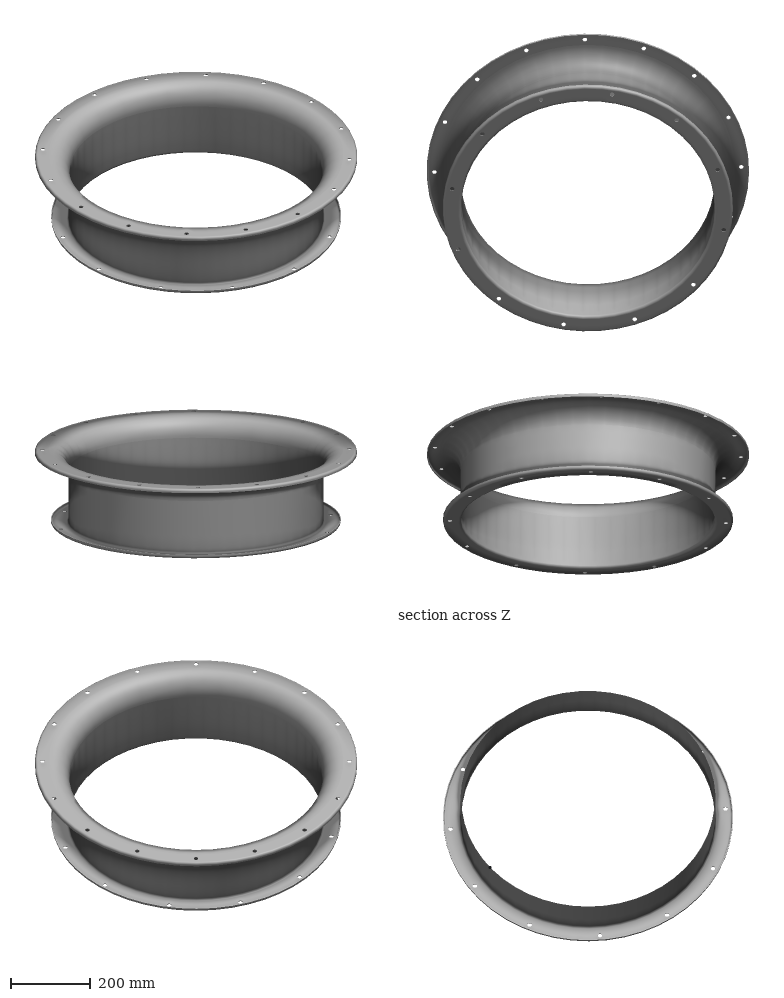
import cadquery as cq
import math

height = 190.0
inlet_flange_radius = 405.0
outlet_flange_radius = 364.5
sheet = 2.0

bore_radius = 318.0
bell_radius = 52.0
bell_center = (bore_radius + bell_radius, height - bell_radius)

rim_bend_radius = 6.5
foot_bend_radius = 7.0
lip_height = 10.0
foot_center = (bore_radius + foot_bend_radius, foot_bend_radius)
inlet_rim_center = (inlet_flange_radius - rim_bend_radius, height - rim_bend_radius)
outlet_rim_center = (outlet_flange_radius - rim_bend_radius, rim_bend_radius)

inlet_bolt_radius = 385.5
inlet_bolt_count = 16
outlet_bolt_radius = 347.0
outlet_bolt_count = 12
bolt_hole_diameter = 11.0


def on_arc(center, radius, degrees):
    """Point in the (radius, height) section plane at an angle around a bend center."""
    angle = math.radians(degrees)
    return (center[0] + radius * math.cos(angle), center[1] + radius * math.sin(angle))


def bend(profile, center, radius, start, end):
    """Continue the section to a bend, then around it from start to end (degrees)."""
    return profile.lineTo(*on_arc(center, radius, start)).threePointArc(
        on_arc(center, radius, (start + end) / 2),
        on_arc(center, radius, end),
    )


def duct_shell():
    """Revolve one constant-thickness sheet: rim, flange, duct, bell, flange, rim."""
    profile = cq.Workplane("XZ").moveTo(outlet_flange_radius, lip_height)

    profile = bend(profile, outlet_rim_center, rim_bend_radius, 0, -90)
    profile = bend(profile, foot_center, foot_bend_radius, 270, 180)
    profile = bend(profile, bell_center, bell_radius, 180, 90)
    profile = bend(profile, inlet_rim_center, rim_bend_radius, 90, 0)

    profile = profile.lineTo(inlet_flange_radius, height - lip_height)
    profile = profile.lineTo(inlet_flange_radius - sheet, height - lip_height)

    profile = bend(profile, inlet_rim_center, rim_bend_radius - sheet, 0, 90)
    profile = bend(profile, bell_center, bell_radius - sheet, 90, 180)
    profile = bend(profile, foot_center, foot_bend_radius - sheet, 180, 270)
    profile = bend(profile, outlet_rim_center, rim_bend_radius - sheet, -90, 0)
    profile = profile.lineTo(outlet_flange_radius - sheet, lip_height)
    return profile.close().revolve(360, (0, 0, 0), (0, 1, 0))


def bolt_holes(count, circle_radius, base_z):
    """Cutters through one flange, with the X and Y axes midway between holes."""
    half_pitch = 180 / count
    return (
        cq.Workplane("XY", origin=(0, 0, base_z))
        .polarArray(circle_radius, half_pitch, 360, count)
        .circle(bolt_hole_diameter / 2)
        .extrude(sheet)
    )


inlet_holes = bolt_holes(inlet_bolt_count, inlet_bolt_radius, height - sheet)
outlet_holes = bolt_holes(outlet_bolt_count, outlet_bolt_radius, 0)
result = duct_shell().cut(inlet_holes).cut(outlet_holes)